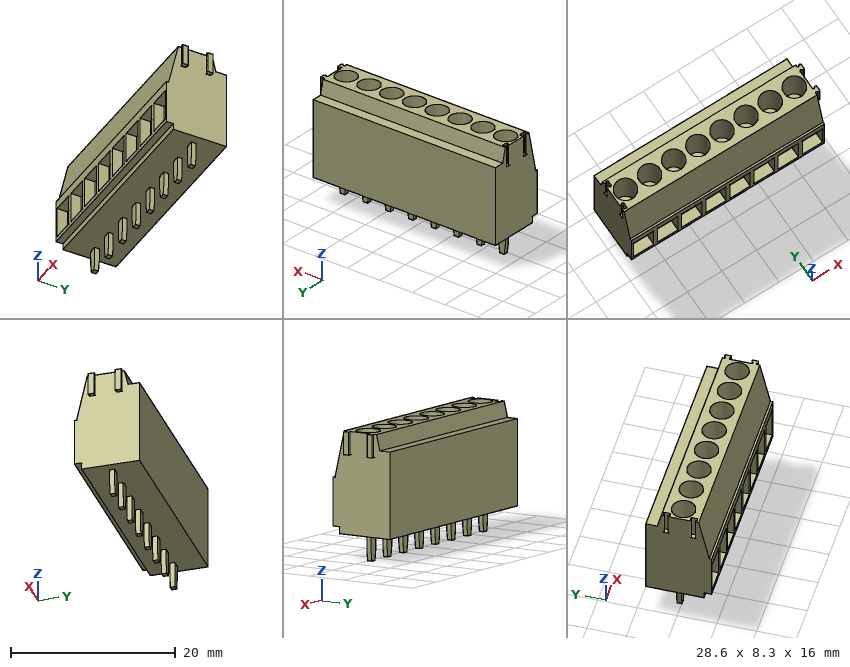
import cadquery as cq


TOTAL_LENGTH = 28.6
POLES = 8
HOUSING_LENGTH = 28.0
PITCH = HOUSING_LENGTH / POLES

HOUSING_DEPTH = 8.3
HOUSING_HEIGHT = 12.75
FOOT_SETBACK = 0.95
FOOT_HEIGHT = 0.85
SHOULDER_SETBACK = 0.3
SHOULDER_HEIGHT = 6.9
TOP_FRONT_Y = 1.63
TOP_BACK_Y = 6.35
LEDGE_FRONT_Y = 6.84
LEDGE_HEIGHT = 10.78

SCREW_HOLE_DIAMETER = 2.95
SCREW_HOLE_Y = 4.0
SCREW_HOLE_DEPTH = 5.72

POCKET_WIDTH = SCREW_HOLE_DIAMETER
POCKET_BOTTOM = 1.45
POCKET_HEIGHT = 4.23
POCKET_DEPTH = 1.43

RAIL_REACH = TOTAL_LENGTH - HOUSING_LENGTH
RAIL_LENGTH = 2.83
RAIL_CENTRES_Y = (2.32, 5.75)
RAIL_ROOT_WIDTH = 0.75
RAIL_WAIST_WIDTH = 0.5
RAIL_NECK_REACH = 0.25
RAIL_BARB_REACH = 0.43
RAIL_BARB_WIDTH = 0.85
RAIL_TIP_WIDTH = 0.75

PIN_WIDTH = 1.03
PIN_TIP_WIDTH = 0.7
PIN_THICKNESS = 0.63
PIN_LENGTH = 3.23
PIN_STRAIGHT_LENGTH = 1.97
PIN_Y = 4.43


def pole_x(index):
    """X position of the centre of a pole."""
    return (index + 0.5) * PITCH


def housing_blank():
    """Stepped cross-section extruded along the row."""
    profile = [
        (FOOT_SETBACK, 0),
        (HOUSING_DEPTH, 0),
        (HOUSING_DEPTH, LEDGE_HEIGHT),
        (LEDGE_FRONT_Y, LEDGE_HEIGHT),
        (TOP_BACK_Y, HOUSING_HEIGHT),
        (TOP_FRONT_Y, HOUSING_HEIGHT),
        (SHOULDER_SETBACK, SHOULDER_HEIGHT),
        (0, SHOULDER_HEIGHT),
        (0, FOOT_HEIGHT),
        (FOOT_SETBACK, FOOT_HEIGHT),
    ]
    return cq.Workplane("YZ").polyline(profile).close().extrude(HOUSING_LENGTH)


def screw_hole(x):
    """Blind round hole cut down from the top face."""
    top = cq.Workplane("XY", origin=(x, SCREW_HOLE_Y, HOUSING_HEIGHT))
    return top.circle(SCREW_HOLE_DIAMETER / 2).extrude(-SCREW_HOLE_DEPTH)


def wire_pocket(x):
    """Rectangular pocket cut into the front face."""
    pocket = cq.Workplane("XY").box(POCKET_WIDTH, POCKET_DEPTH, POCKET_HEIGHT, centered=(True, False, False))
    return pocket.translate((x, 0, POCKET_BOTTOM))


def barbed_rail(end_x, centre_y):
    """Barbed rail with a waisted neck, reaching in +X from an end plane, hanging down from the top face."""
    half_root = RAIL_ROOT_WIDTH / 2
    half_waist = RAIL_WAIST_WIDTH / 2
    half_barb = RAIL_BARB_WIDTH / 2
    half_tip = RAIL_TIP_WIDTH / 2
    waist_x = RAIL_NECK_REACH / 2
    outline = (
        cq.Workplane("XY", origin=(end_x, centre_y, HOUSING_HEIGHT))
        .moveTo(0, -half_root)
        .threePointArc((waist_x, -half_waist), (RAIL_NECK_REACH, -half_root))
        .lineTo(RAIL_BARB_REACH, -half_barb)
        .lineTo(RAIL_REACH, -half_tip)
        .lineTo(RAIL_REACH, half_tip)
        .lineTo(RAIL_BARB_REACH, half_barb)
        .lineTo(RAIL_NECK_REACH, half_root)
        .threePointArc((waist_x, half_waist), (0, half_root))
        .close()
    )
    return outline.extrude(-RAIL_LENGTH)


def make_housing():
    """Housing with its holes, pockets, grooves and rails."""
    body = housing_blank()
    for index in range(POLES):
        body = body.cut(screw_hole(pole_x(index)))
        body = body.cut(wire_pocket(pole_x(index)))
    for centre_y in RAIL_CENTRES_Y:
        body = body.cut(barbed_rail(0, centre_y))
        body = body.union(barbed_rail(HOUSING_LENGTH, centre_y))
    return body


def make_pin(x):
    """Flat solder pin below the housing, tapering in width towards its tip."""
    half_width = PIN_WIDTH / 2
    half_tip = PIN_TIP_WIDTH / 2
    outline = [
        (-half_width, 0),
        (-half_width, -PIN_STRAIGHT_LENGTH),
        (-half_tip, -PIN_LENGTH),
        (half_tip, -PIN_LENGTH),
        (half_width, -PIN_STRAIGHT_LENGTH),
        (half_width, 0),
    ]
    middle = cq.Workplane("XZ", origin=(x, PIN_Y, 0))
    return middle.polyline(outline).close().extrude(PIN_THICKNESS / 2, both=True)


housing = make_housing()
pins = [make_pin(pole_x(index)) for index in range(POLES)]

result = cq.Compound.makeCompound([housing.val(), *[pin.val() for pin in pins]])